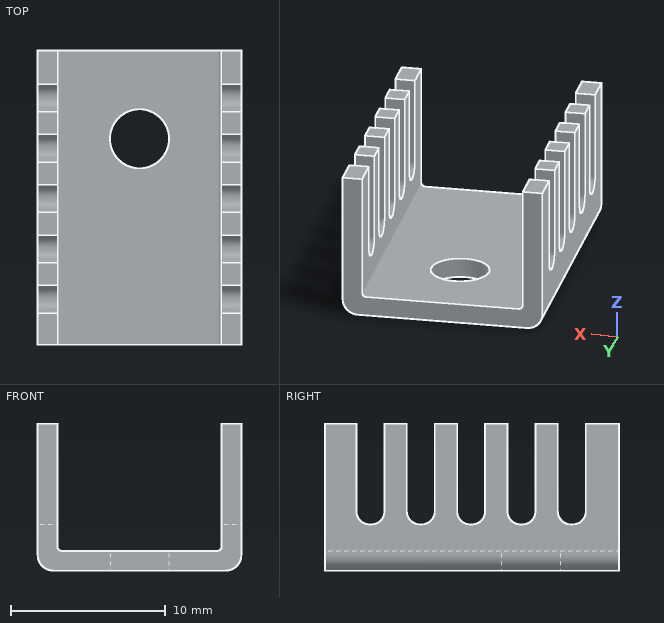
import cadquery as cq

width = 13.2
length = 19.05
height = 9.52
wall = 1.3

outer_bend_radius = 1.03
inner_bend_radius = 0.27

hole_diameter = 3.81
hole_from_back = 5.72

slot_count = 5
slot_width = 1.8
slot_pitch = 3.25
slot_floor = 3.01
slot_corner_radius = 0.82
slot_row_center = -0.05


def make_channel():
    """U-shaped channel along Y, resting on Z = 0."""
    outside = (
        cq.Workplane("XY")
        .box(width, length, height, centered=(True, True, False))
        .edges("|Y and <Z")
        .fillet(outer_bend_radius)
    )
    inside = (
        cq.Workplane("XY", origin=(0, 0, wall))
        .box(width - 2 * wall, length, height, centered=(True, True, False))
        .edges("|Y and <Z")
        .fillet(inner_bend_radius)
    )
    return outside.cut(inside)


def make_slot(y):
    """Slot cutter across both walls, open at the top, with rounded bottom corners."""
    return (
        cq.Workplane("XY", origin=(0, y, slot_floor))
        .box(width, slot_width, height, centered=(True, True, False))
        .edges("|X and <Z")
        .fillet(slot_corner_radius)
    )


def make_hole():
    """Cutter for the round hole through the floor."""
    hole_y = length / 2 - hole_from_back
    return cq.Workplane("XY", origin=(0, hole_y, 0)).circle(hole_diameter / 2).extrude(wall)


result = make_channel().cut(make_hole())
for index in range(slot_count):
    slot_y = slot_row_center + (index - (slot_count - 1) / 2) * slot_pitch
    result = result.cut(make_slot(slot_y))